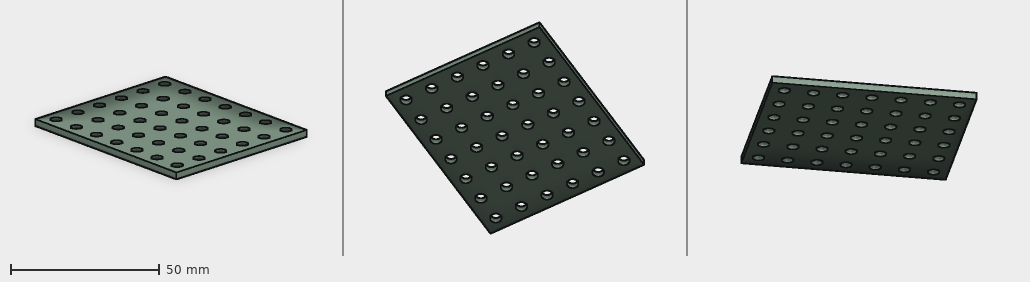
import cadquery as cq

plate_length = 70.0
columns = 7
rows = 6
thickness = 2.5
hole_diameter = 3.9

pitch = plate_length / columns
plate_width = rows * pitch

plate = cq.Workplane("XY").box(plate_length, plate_width, thickness)

result = (
    plate.faces(">Z")
    .workplane()
    .rarray(pitch, pitch, columns, rows)
    .hole(hole_diameter)
)